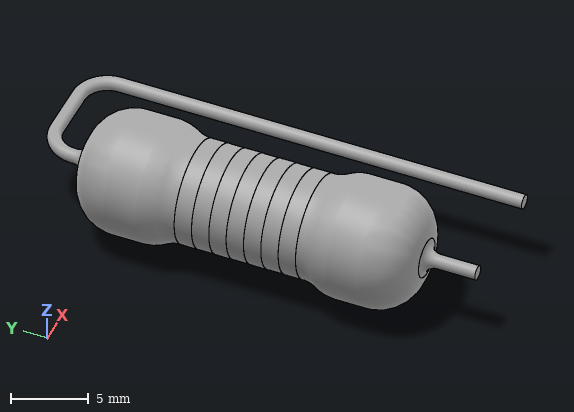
import cadquery as cq
import math

total_length = 30.9
lead_radius = 0.5
lead_spacing = 7.5
bend_radius = 2.0

body_bottom = 3.58
body_length = 23.82
cap_radius = 4.2
dome_radius = 3.0
cap_straight = 2.22
waist_radius = 7.15 / 2
band_radius = 7.17 / 2
band_count = 7
flare_radius = 0.83

body_center = body_bottom + body_length / 2
foot_radius = lead_radius + flare_radius
cap_inner_end = body_bottom + dome_radius + cap_straight
band_width = 2 * (body_center - cap_inner_end) / (band_count + 4)
waist_start = cap_inner_end + 2 * band_width


def arc_point(center, radius, degrees):
    """Point on a circle, at an angle measured from the radial direction."""
    angle = math.radians(degrees)
    return (center[0] + radius * math.cos(angle), center[1] + radius * math.sin(angle))


def revolve_about_body_axis(profile):
    return profile.close().revolve(360, (0, 0, 0), (0, 1, 0))


def half_body():
    """Lower half of the body: domed cap, S-shaped shoulder and plain waist."""
    dome_center = (cap_radius - dome_radius, body_bottom + dome_radius)
    shoulder_step = (cap_radius - waist_radius) / 2
    shoulder_radius = (band_width**2 + shoulder_step**2) / (2 * shoulder_step)
    shoulder_sweep = math.degrees(math.asin(band_width / shoulder_radius))
    outer_center = (cap_radius - shoulder_radius, cap_inner_end)
    inner_center = (waist_radius + shoulder_radius, waist_start)
    profile = (
        cq.Workplane("XY")
        .moveTo(0, body_bottom)
        .lineTo(*arc_point(dome_center, dome_radius, -90))
        .threePointArc(arc_point(dome_center, dome_radius, -45), (cap_radius, dome_center[1]))
        .lineTo(cap_radius, cap_inner_end)
        .threePointArc(
            arc_point(outer_center, shoulder_radius, shoulder_sweep / 2),
            arc_point(outer_center, shoulder_radius, shoulder_sweep),
        )
        .threePointArc(
            arc_point(inner_center, shoulder_radius, 180 + shoulder_sweep / 2),
            (waist_radius, waist_start),
        )
        .lineTo(waist_radius, body_center)
        .lineTo(0, body_center)
    )
    return revolve_about_body_axis(profile)


def color_band(index):
    """Slightly raised ring around the waist."""
    bottom = waist_start + index * band_width
    profile = (
        cq.Workplane("XY")
        .moveTo(0, bottom)
        .lineTo(band_radius, bottom)
        .lineTo(band_radius, bottom + band_width)
        .lineTo(0, bottom + band_width)
    )
    return revolve_about_body_axis(profile)


def lower_flare():
    """Concave coating meniscus where the lead leaves the body."""
    root = body_bottom + dome_radius
    corner = (foot_radius, body_bottom - flare_radius)
    profile = (
        cq.Workplane("XY")
        .moveTo(0, corner[1])
        .lineTo(lead_radius, corner[1])
        .threePointArc(arc_point(corner, flare_radius, 135), (foot_radius, body_bottom))
        .lineTo(foot_radius, root)
        .lineTo(0, root)
    )
    return revolve_about_body_axis(profile)


def mirror_to_top(shape):
    return shape.mirror("XZ", (0, body_center, 0))


def lead():
    """One wire through the body, bent twice and brought back to Y = 0."""
    crest = total_length - lead_radius
    bend_start = crest - bend_radius
    first_center = (bend_radius, bend_start)
    second_center = (lead_spacing - bend_radius, bend_start)
    path = (
        cq.Workplane("XY")
        .lineTo(0, bend_start)
        .threePointArc(arc_point(first_center, bend_radius, 135), (bend_radius, crest))
        .lineTo(second_center[0], crest)
        .threePointArc(arc_point(second_center, bend_radius, 45), (lead_spacing, bend_start))
        .lineTo(lead_spacing, 0)
    )
    return cq.Workplane("XZ").circle(lead_radius).sweep(path)


lower_half = half_body()
result = lower_half.union(mirror_to_top(lower_half))

for band_index in range(0, band_count, 2):
    result = result.union(color_band(band_index))

result = result.union(lower_flare()).union(mirror_to_top(lower_flare())).union(lead())